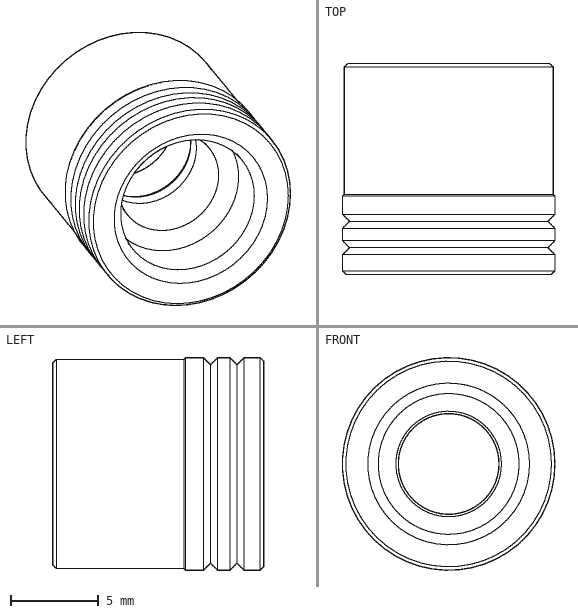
import cadquery as cq
import math

LENGTH = 12.0

COLLAR_RADIUS = 6.05
BARREL_RADIUS = 5.95
COLLAR_END = 4.55
END_CHAMFER = 0.2
STEP_CHAMFER = COLLAR_RADIUS - BARREL_RADIUS

GROOVE_DEPTH = 0.4
GROOVE_COUNT = 2
FIRST_GROOVE = 1.52
GROOVE_PITCH = 1.5

MOUTH_RADIUS = 4.6
SOCKET_RADIUS = 4.0
BORE_RADIUS = 3.0
MOUTH_DEPTH = MOUTH_RADIUS - SOCKET_RADIUS
SOCKET_END = 3.4
SHOULDER_HALF_ANGLE = 60
SHOULDER_END = SOCKET_END + (SOCKET_RADIUS - BORE_RADIUS) / math.tan(math.radians(SHOULDER_HALF_ANGLE))

SEAL_INNER_RADIUS = 2.85
SEAL_CORD_RADIUS = 0.5
SEAL_CENTER_RADIUS = SEAL_INNER_RADIUS + SEAL_CORD_RADIUS
SEAL_POSITION = 8.47
SEAL_SEAT_RADIUS = SEAL_CENTER_RADIUS + SEAL_CORD_RADIUS
SEAL_SEAT_START = SEAL_POSITION - SEAL_CORD_RADIUS
SEAL_SEAT_END = SEAL_POSITION + SEAL_CORD_RADIUS


def turned(points):
    """Solid of revolution from (radius, y) corner points."""
    return cq.Workplane("XY").polyline(points).close().revolve(360, (0, 0, 0), (0, 1, 0))


def sleeve_blank():
    """Collar and barrel with chamfered ends."""
    return turned([
        (0, 0),
        (COLLAR_RADIUS - END_CHAMFER, 0),
        (COLLAR_RADIUS, END_CHAMFER),
        (COLLAR_RADIUS, COLLAR_END - STEP_CHAMFER),
        (BARREL_RADIUS, COLLAR_END),
        (BARREL_RADIUS, LENGTH - END_CHAMFER),
        (BARREL_RADIUS - END_CHAMFER, LENGTH),
        (0, LENGTH),
    ])


def bore_cutter():
    """Lead-in, socket, conical shoulder, through bore and seal seat."""
    return turned([
        (0, 0),
        (MOUTH_RADIUS, 0),
        (SOCKET_RADIUS, MOUTH_DEPTH),
        (SOCKET_RADIUS, SOCKET_END),
        (BORE_RADIUS, SHOULDER_END),
        (BORE_RADIUS, SEAL_SEAT_START),
        (SEAL_SEAT_RADIUS, SEAL_SEAT_START),
        (SEAL_SEAT_RADIUS, SEAL_SEAT_END),
        (BORE_RADIUS, SEAL_SEAT_END),
        (BORE_RADIUS, LENGTH),
        (0, LENGTH),
    ])


def v_groove_cutter(center):
    """Triangular ring whose tip reaches the groove root."""
    return turned([
        (COLLAR_RADIUS - GROOVE_DEPTH, center),
        (COLLAR_RADIUS + GROOVE_DEPTH, center - 2 * GROOVE_DEPTH),
        (COLLAR_RADIUS + GROOVE_DEPTH, center + 2 * GROOVE_DEPTH),
    ])


def make_sleeve():
    sleeve = sleeve_blank().cut(bore_cutter())
    for index in range(GROOVE_COUNT):
        sleeve = sleeve.cut(v_groove_cutter(FIRST_GROOVE + index * GROOVE_PITCH))
    return sleeve


def make_seal_ring():
    """Round-section ring that stands slightly proud of the bore wall."""
    cord_section = cq.Workplane("XY").moveTo(SEAL_CENTER_RADIUS, SEAL_POSITION).circle(SEAL_CORD_RADIUS)
    return cord_section.revolve(360, (0, 0, 0), (0, 1, 0))


sleeve = make_sleeve()
seal_ring = make_seal_ring()

result = cq.Compound.makeCompound([sleeve.val(), seal_ring.val()])